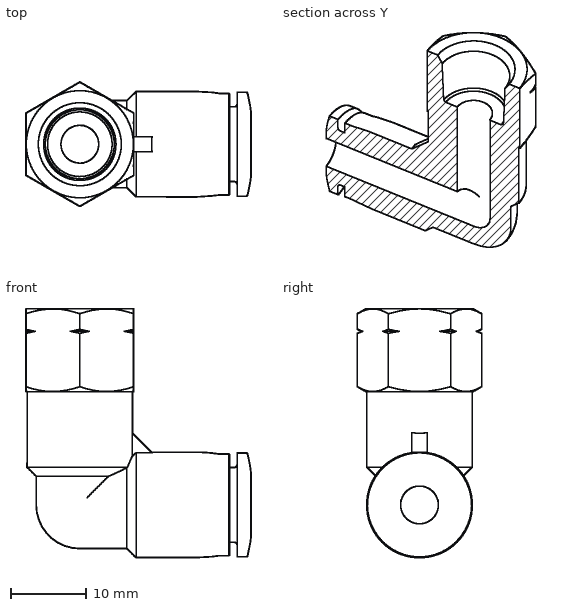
import cadquery as cq
import math


elbow_radius = 5.8
arm_radius = 7.0
arm_cone_length = arm_radius - elbow_radius
bore_radius = 2.5

top_height = 26.0
hex_height = 11.0
hex_corner_radius = 8.25
hex_half_angle = 30
hex_flat_radius = hex_corner_radius * math.cos(math.radians(hex_half_angle))
hex_base = top_height - hex_height
sleeve_base = 5.0
hex_chamfer_radius = 7.1
hex_chamfer_angle = 30
hex_chamfer_slope = math.tan(math.radians(hex_chamfer_angle))
hex_chamfer_drop = (hex_corner_radius - hex_chamfer_radius) * hex_chamfer_slope

groove_below_top = 3.0
groove_height = top_height - groove_below_top
groove_root_radius = 7.63
groove_half_width = 0.27

thread_mouth_radius = 5.5
thread_top_radius = 4.8
thread_end_radius = 4.57
thread_floor_radius = 4.283
countersink_half_angle = 30
countersink_slope = math.tan(math.radians(countersink_half_angle))
thread_countersink_depth = (thread_mouth_radius - thread_top_radius) / countersink_slope
thread_depth = 8.0
thread_floor = top_height - thread_depth
thread_end = thread_floor + thread_end_radius - thread_floor_radius

tube_arm_start = 6.25
taper_start = 15.5
taper_end = 18.5
tube_arm_end = 19.85
tube_arm_end_radius = 6.75
tube_arm_edge_chamfer = 0.1

neck_radius = 4.97
neck_fillet = 0.4
ring_radius = 6.9
ring_start = 20.85
ring_rim = 22.2
ring_rim_fillet = 0.2
ring_face_radius = 4.3
part_length = 29.84
ring_end = part_length - hex_flat_radius
dome_bulge = 0.05

web_thickness = 2.0
web_reach = 16.5


def revolve_about_z(profile):
    return profile.close().revolve(360, (0, 0, 0), (0, 1, 0))


def revolve_about_x(profile):
    return profile.close().revolve(360, (0, 0, 0), (1, 0, 0))


def corner_chamfered_hexagon():
    hexagon = (
        cq.Workplane("XY")
        .workplane(offset=hex_base)
        .polygon(6, 2 * hex_corner_radius)
        .extrude(hex_height)
        .rotate((0, 0, 0), (0, 0, 1), hex_half_angle)
    )
    envelope = revolve_about_z(
        cq.Workplane("XZ")
        .moveTo(0, hex_base)
        .lineTo(hex_chamfer_radius, hex_base)
        .lineTo(hex_corner_radius, hex_base + hex_chamfer_drop)
        .lineTo(hex_corner_radius, groove_height - groove_half_width)
        .lineTo(groove_root_radius, groove_height)
        .lineTo(hex_corner_radius, groove_height + groove_half_width)
        .lineTo(hex_corner_radius, top_height - hex_chamfer_drop)
        .lineTo(hex_chamfer_radius, top_height)
        .lineTo(0, top_height)
    )
    return hexagon.intersect(envelope)


def vertical_arm():
    return revolve_about_z(
        cq.Workplane("XZ")
        .lineTo(elbow_radius, 0)
        .lineTo(elbow_radius, sleeve_base - arm_cone_length)
        .lineTo(arm_radius, sleeve_base)
        .lineTo(arm_radius, hex_base)
        .lineTo(0, hex_base)
    )


def tube_arm():
    dome_middle = (
        (ring_rim + ring_end) / 2 + dome_bulge,
        (ring_radius + ring_face_radius) / 2,
    )
    arm = revolve_about_x(
        cq.Workplane("XZ")
        .lineTo(0, elbow_radius)
        .lineTo(tube_arm_start, elbow_radius)
        .lineTo(tube_arm_start + arm_cone_length, arm_radius)
        .lineTo(taper_start, arm_radius)
        .tangentArcPoint((taper_end, tube_arm_end_radius), relative=False)
        .lineTo(tube_arm_end - tube_arm_edge_chamfer, tube_arm_end_radius)
        .lineTo(tube_arm_end, tube_arm_end_radius - tube_arm_edge_chamfer)
        .lineTo(tube_arm_end, neck_radius)
        .lineTo(ring_start - neck_fillet, neck_radius)
        .tangentArcPoint((ring_start, neck_radius + neck_fillet), relative=False)
        .lineTo(ring_start, ring_radius)
        .lineTo(ring_rim, ring_radius)
        .threePointArc(dome_middle, (ring_end, ring_face_radius))
        .lineTo(ring_end, 0)
    )
    rim = cq.selectors.NearestToPointSelector((ring_rim, 0, 0))
    return arm.edges(rim).fillet(ring_rim_fillet)


def corner_web():
    return (
        cq.Workplane("XZ")
        .lineTo(web_reach, 0)
        .lineTo(0, web_reach)
        .close()
        .extrude(web_thickness / 2, both=True)
    )


def thread_bore():
    return revolve_about_z(
        cq.Workplane("XZ")
        .moveTo(0, top_height)
        .lineTo(thread_mouth_radius, top_height)
        .lineTo(thread_top_radius, top_height - thread_countersink_depth)
        .lineTo(thread_end_radius, thread_end)
        .lineTo(thread_floor_radius, thread_floor)
        .lineTo(0, thread_floor)
    )


def elbow_bore():
    down = cq.Workplane("XY").circle(bore_radius).extrude(thread_floor)
    across = cq.Workplane("YZ").circle(bore_radius).extrude(ring_end)
    return down.union(across).union(cq.Workplane("XY").sphere(bore_radius))


body = vertical_arm().union(tube_arm()).union(cq.Workplane("XY").sphere(elbow_radius))
body = body.union(corner_chamfered_hexagon()).union(corner_web())
result = body.cut(thread_bore()).cut(elbow_bore())